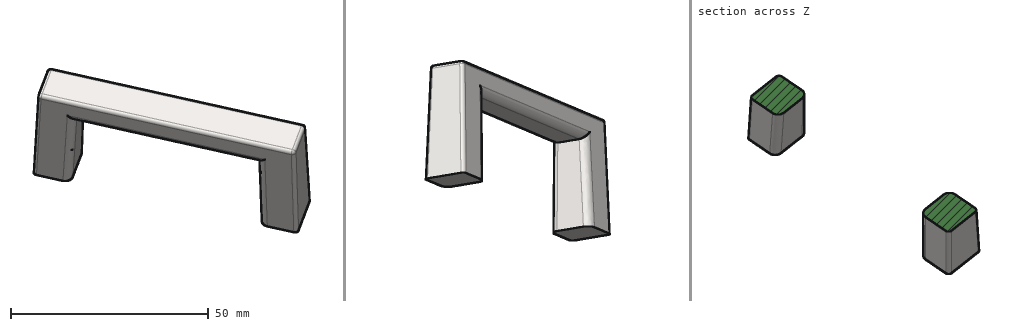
import cadquery as cq

length = 70.0
depth = 12.0
height = 30.0

side_lean = 1.0

leg_width = 10.0
grip_thickness = 7.1
opening_lean = 0.85

outer_radius = 1.0
inner_radius = 2.0


def tapered_body():
    """Solid block that narrows evenly on all four sides towards the top."""
    return (
        cq.Workplane("XY")
        .rect(length, depth)
        .workplane(offset=height)
        .rect(length - 2 * side_lean, depth - 2 * side_lean)
        .loft(ruled=True)
    )


def opening():
    """Trapezoidal prism that separates the two legs, passing through in Y."""
    half_foot = length / 2 - leg_width
    half_top = half_foot - opening_lean
    opening_height = height - grip_thickness
    return (
        cq.Workplane("XZ")
        .polyline([
            (-half_foot, 0),
            (half_foot, 0),
            (half_top, opening_height),
            (-half_top, opening_height),
        ])
        .close()
        .extrude(depth, both=True)
    )


body = tapered_body()
body = body.edges("not(<Z)").fillet(outer_radius)

handle = body.cut(opening())
opening_box = cq.selectors.BoxSelector(
    (-length / 2 + leg_width - opening_lean, -depth, outer_radius),
    (length / 2 - leg_width + opening_lean, depth, height - outer_radius),
)
opening_edges = handle.edges(opening_box).edges("not |Y")
result = opening_edges.fillet(inner_radius)